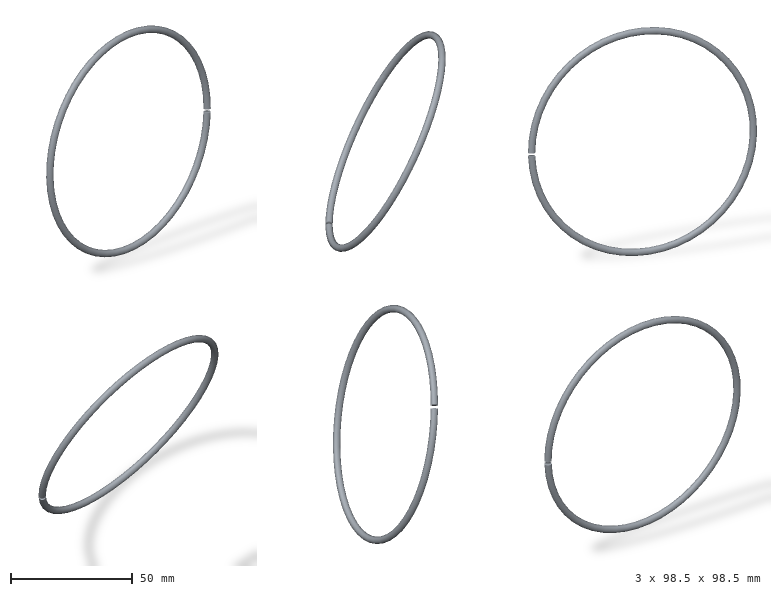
import cadquery as cq

outer_diameter = 98.5
wire_diameter = 3.0
gap_width = 1.5

wire_radius = wire_diameter / 2
centreline_radius = (outer_diameter - wire_diameter) / 2


def make_closed_ring():
    """Full torus of round wire about the X axis."""
    ring_axis = cq.Vector(1, 0, 0)
    ring_centre = cq.Vector(0, 0, 0)
    return cq.Workplane(cq.Solid.makeTorus(centreline_radius, wire_radius, ring_centre, ring_axis))


def make_gap_cutter():
    """Block with parallel faces that opens the ring on the +Y side, just below Z = 0."""
    cutter_side = 2 * wire_diameter
    cutter = cq.Workplane("XY").box(cutter_side, cutter_side, gap_width)
    return cutter.translate((0, centreline_radius, -gap_width / 2))


result = make_closed_ring().cut(make_gap_cutter())